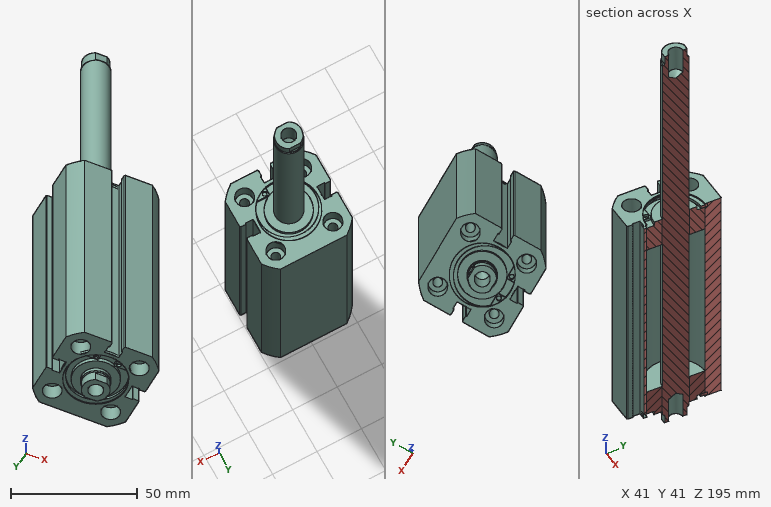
import cadquery as cq
import math


total_length = 195.0
rod_overhang_bottom = 6.5
housing_length = 102.5
housing_bottom = rod_overhang_bottom
housing_top = housing_bottom + housing_length
housing_middle = (housing_bottom + housing_top) / 2

housing_width = 41.0
corner_turning_radius = 25.4
bore_radius = 13.0
slot_mouth_width = 5.3
slot_inner_width = 6.2
slot_lip = 2.7
slot_mouth_chamfer = 0.4
slot_floor_radius = 14.5
bolt_offset = 12.9
bolt_hole_radius = 2.0
counterbore_radius = 3.9
counterbore_depth = 7.0

groove_radius = 14.2
groove_inset = 0.5
ring_thickness = 1.2
ring_opening_radius = 12.5
ring_back_radius = 11.21
ring_gap = 7.0
ear_reach = 9.2
ear_width = 5.5
ear_hole_radius = 1.0
ear_hole_x = 5.0
ear_hole_y = 10.5

cover_length = 13.6
boss_radius = 9.8
shelf_depth = groove_inset + ring_thickness

rod_radius = 6.0
neck_radius = 5.7
neck_length = 4.9
flat_offset = 5.0
thread_radius = 3.1
thread_depth = 11.7
drill_point_angle = 118.0


def cylinder(radius, bottom, top):
    """Cylinder on the Z axis between two heights."""
    return cq.Workplane("XY").workplane(offset=bottom).circle(radius).extrude(top - bottom)


def at_bottom_end(top_end):
    """Mirror a shape at the housing's top end onto its bottom end."""
    return top_end.mirror("XY", (0, 0, housing_middle))



def make_slot():
    """Lipped sensor slot with a flared mouth, along the whole +X side."""
    half_mouth = slot_mouth_width / 2
    half_inner = slot_inner_width / 2
    face = housing_width / 2
    lip = face - slot_lip
    flare = slot_mouth_chamfer
    outline = [
        (face, -half_mouth - flare),
        (face - flare, -half_mouth),
        (lip, -half_mouth),
        (lip, -half_inner),
        (slot_floor_radius, -half_inner),
        (slot_floor_radius, half_inner),
        (lip, half_inner),
        (lip, half_mouth),
        (face - flare, half_mouth),
        (face, half_mouth + flare),
    ]
    base = cq.Workplane("XY").workplane(offset=housing_bottom)
    return base.polyline(outline).close().extrude(housing_length)


def make_housing():
    block = cq.Workplane("XY").workplane(offset=housing_bottom).rect(housing_width, housing_width)
    body = block.extrude(housing_length)
    body = body.intersect(cylinder(corner_turning_radius, housing_bottom, housing_top))
    body = body.cut(cylinder(bore_radius, housing_bottom, housing_top))

    for angle in (0, 180, 270):
        body = body.cut(make_slot().rotate((0, 0, 0), (0, 0, 1), angle))

    for x in (-bolt_offset, bolt_offset):
        for y in (-bolt_offset, bolt_offset):
            hole = cylinder(bolt_hole_radius, housing_bottom, housing_top)
            counterbore = cylinder(counterbore_radius, housing_top - counterbore_depth, housing_top)
            for tool in (hole, counterbore, at_bottom_end(counterbore)):
                body = body.cut(tool.translate((x, y, 0)))

    groove = cylinder(groove_radius, housing_top - shelf_depth, housing_top - groove_inset)
    return body.cut(groove).cut(at_bottom_end(groove))



def make_top_cover():
    """Disc that fills the bore, with a boss that stands up inside the retaining ring."""
    disc = cylinder(bore_radius, housing_top - cover_length, housing_top - shelf_depth)
    boss = cylinder(boss_radius, housing_top - shelf_depth, housing_top)
    return disc.union(boss).cut(cylinder(rod_radius, housing_bottom, housing_top))



def make_top_ring():
    """C-shaped ring, thickest opposite its gap, with a drilled ear at each end."""
    ring_bottom = housing_top - shelf_depth
    ring_top = housing_top - groove_inset
    disc = cylinder(groove_radius, ring_bottom, ring_top)
    opening = cylinder(ring_opening_radius, ring_bottom, ring_top)
    opening = opening.translate((0, ring_back_radius - ring_opening_radius, 0))
    ring = disc.cut(opening)

    ear_zone = cq.Workplane("XY").workplane(offset=ring_bottom)
    for side in (-1, 1):
        ear = (
            ear_zone.center(side * (ring_gap + ear_width) / 2, -(ear_reach + groove_radius) / 2)
            .rect(ear_width, groove_radius - ear_reach)
            .extrude(ring_thickness)
        )
        hole = cylinder(ear_hole_radius, ring_bottom, ring_top)
        ring = ring.union(ear.intersect(disc))
        ring = ring.cut(hole.translate((side * ear_hole_x, -ear_hole_y, 0)))

    gap = ear_zone.center(0, -groove_radius / 2).rect(ring_gap, groove_radius).extrude(ring_thickness)
    return ring.cut(gap)



def make_flat_cutter():
    """Cuts the wrench flat on the +Y side of the top neck, with a 45 degree run-out."""
    ramp = rod_radius - flat_offset
    shoulder = total_length - neck_length
    outline = [
        (rod_radius, shoulder),
        (flat_offset, shoulder + ramp),
        (flat_offset, total_length),
        (rod_radius, total_length),
    ]
    return cq.Workplane("YZ").polyline(outline).close().extrude(rod_radius, both=True)


def make_thread_hole():
    """Blind hole in the top end of the rod, ending in a drill point."""
    floor = total_length - thread_depth
    tip = floor - thread_radius / math.tan(math.radians(drill_point_angle / 2))
    outline = [(0, tip), (thread_radius, floor), (thread_radius, total_length), (0, total_length)]
    return cq.Workplane("XZ").polyline(outline).close().revolve(360, (0, 0, 0), (0, 1, 0))


def make_rod():
    """Rod with the same necked, flatted and threaded end at top and bottom."""
    neck_chamfer = rod_radius - neck_radius
    shoulder = total_length - neck_length
    outline = [
        (0, 0),
        (neck_radius, 0),
        (neck_radius, neck_length - neck_chamfer),
        (rod_radius, neck_length),
        (rod_radius, shoulder),
        (neck_radius, shoulder + neck_chamfer),
        (neck_radius, total_length),
        (0, total_length),
    ]
    rod = cq.Workplane("XZ").polyline(outline).close().revolve(360, (0, 0, 0), (0, 1, 0))
    flat = make_flat_cutter()
    for tool in (flat, flat.mirror("XZ"), make_thread_hole()):
        rod = rod.cut(tool).cut(tool.mirror("XY", (0, 0, total_length / 2)))
    return rod


housing = make_housing()
top_cover = make_top_cover()
top_ring = make_top_ring()
covers = [top_cover, at_bottom_end(top_cover)]
rings = [top_ring, at_bottom_end(top_ring)]
rod = make_rod()

result = cq.Compound.makeCompound(
    [housing.val(), *[cover.val() for cover in covers], *[ring.val() for ring in rings], rod.val()]
)